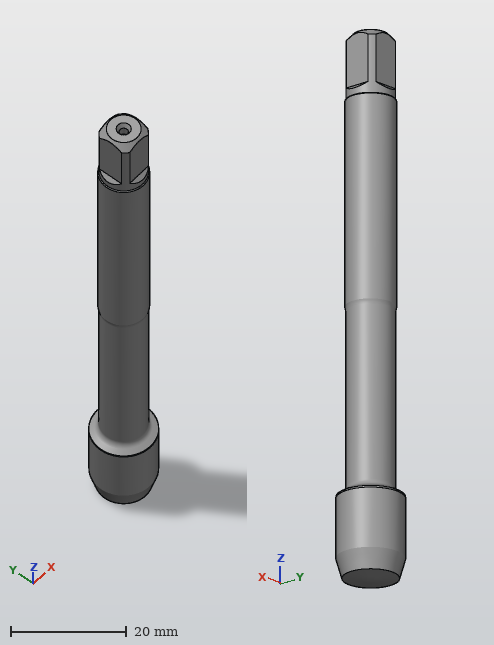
import cadquery as cq
import math

LENGTH = 100
TIP_HEIGHT = 0.4
LEAD_TOP = 4
HEAD_TOP = 15
SHANK_STEP_TOP = 50.1
COLLAR_Z = 88
SQUARE_BOTTOM = 90

HEAD_RADIUS = 12.1 / 2
TIP_RADIUS = 5
NECK_RADIUS = 8.7 / 2
SHANK_RADIUS = 9 / 2
DRIVE_RADIUS = 8.6 / 2
END_FACE_RADIUS = 3

BLEND_RADIUS = 1.3
BLEND_ANGLE = math.radians(60)
HEAD_LAND = 0.3

RUNOUT_RADIUS = 2.5

SQUARE_WIDTH = 7
LEDGE_ANGLE = math.radians(45)

CENTRE_RADIUS = 1.6 / 2
CENTRE_MOUTH_RADIUS = 1.3
CENTRE_DEPTH = 2.5
CENTRE_DRILL_HALF_ANGLE = math.radians(60)
CENTRE_SINK_HALF_ANGLE = math.radians(30)


def make_cutting_head():
    """Plain cylinder with a tapered lead-in and a shallow conical end face."""
    return (
        cq.Workplane("XZ")
        .moveTo(0, 0)
        .lineTo(TIP_RADIUS, TIP_HEIGHT)
        .lineTo(HEAD_RADIUS, LEAD_TOP)
        .lineTo(HEAD_RADIUS, HEAD_TOP)
        .lineTo(0, HEAD_TOP)
        .close()
        .revolve(360, (0, 0, 0), (0, 1, 0))
    )


def make_turned_shank():
    """Stepped shank, from the cutting head to the chamfered drive end."""
    def runout_point(angle):
        radius = NECK_RADIUS + RUNOUT_RADIUS * (1 - math.cos(angle))
        return radius, runout_bottom + RUNOUT_RADIUS * math.sin(angle)

    def blend_point(angle):
        radius = NECK_RADIUS + BLEND_RADIUS * (1 - math.cos(angle))
        return radius, blend_top - BLEND_RADIUS * math.sin(angle)

    cone_bottom = HEAD_TOP + HEAD_LAND
    cone_inner_radius = NECK_RADIUS + BLEND_RADIUS * (1 - math.cos(BLEND_ANGLE))
    cone_top = cone_bottom + (HEAD_RADIUS - cone_inner_radius) / math.tan(BLEND_ANGLE)
    blend_top = cone_top + BLEND_RADIUS * math.sin(BLEND_ANGLE)
    runout_angle = math.acos(1 - (SHANK_RADIUS - NECK_RADIUS) / RUNOUT_RADIUS)
    runout_bottom = SHANK_STEP_TOP - RUNOUT_RADIUS * math.sin(runout_angle)
    collar_chamfer = SHANK_RADIUS - DRIVE_RADIUS
    end_chamfer = DRIVE_RADIUS - END_FACE_RADIUS

    return (
        cq.Workplane("XZ")
        .moveTo(0, HEAD_TOP)
        .lineTo(HEAD_RADIUS, HEAD_TOP)
        .lineTo(HEAD_RADIUS, cone_bottom)
        .lineTo(*blend_point(BLEND_ANGLE))
        .threePointArc(blend_point(BLEND_ANGLE / 2), blend_point(0))
        .lineTo(*runout_point(0))
        .threePointArc(runout_point(runout_angle / 2), runout_point(runout_angle))
        .lineTo(SHANK_RADIUS, COLLAR_Z - collar_chamfer)
        .lineTo(DRIVE_RADIUS, COLLAR_Z)
        .lineTo(DRIVE_RADIUS, LENGTH - end_chamfer)
        .lineTo(END_FACE_RADIUS, LENGTH)
        .lineTo(0, LENGTH)
        .close()
        .revolve(360, (0, 0, 0), (0, 1, 0))
    )


def make_flat_cutter():
    """Prism that cuts one drive flat on the +X side, with a sloping ledge."""
    flat_x = SQUARE_WIDTH / 2
    outer_x = SHANK_RADIUS + 1
    ledge_drop = (outer_x - flat_x) * math.tan(LEDGE_ANGLE)
    return (
        cq.Workplane("XZ")
        .moveTo(flat_x, SQUARE_BOTTOM)
        .lineTo(outer_x, SQUARE_BOTTOM - ledge_drop)
        .lineTo(outer_x, LENGTH)
        .lineTo(flat_x, LENGTH)
        .close()
        .extrude(SHANK_RADIUS, both=True)
    )


def make_centre_hole():
    """Countersunk blind hole with a conical bottom in the drive end."""
    sink_depth = (CENTRE_MOUTH_RADIUS - CENTRE_RADIUS) / math.tan(CENTRE_SINK_HALF_ANGLE)
    drill_point_depth = CENTRE_RADIUS / math.tan(CENTRE_DRILL_HALF_ANGLE)
    return (
        cq.Workplane("XZ")
        .moveTo(0, LENGTH)
        .lineTo(CENTRE_MOUTH_RADIUS, LENGTH)
        .lineTo(CENTRE_RADIUS, LENGTH - sink_depth)
        .lineTo(CENTRE_RADIUS, LENGTH - CENTRE_DEPTH)
        .lineTo(0, LENGTH - CENTRE_DEPTH - drill_point_depth)
        .close()
        .revolve(360, (0, 0, 0), (0, 1, 0))
    )


def make_shank():
    """Turned shank with the square drive and the centre hole cut into it."""
    shank = make_turned_shank()
    flat_cutter = make_flat_cutter()
    for quarter_turn in (0, 90, 180, 270):
        shank = shank.cut(flat_cutter.rotate((0, 0, 0), (0, 0, 1), quarter_turn))
    return shank.cut(make_centre_hole())


cutting_head = make_cutting_head()
shank = make_shank()

result = cq.Compound.makeCompound([cutting_head.val(), shank.val()])